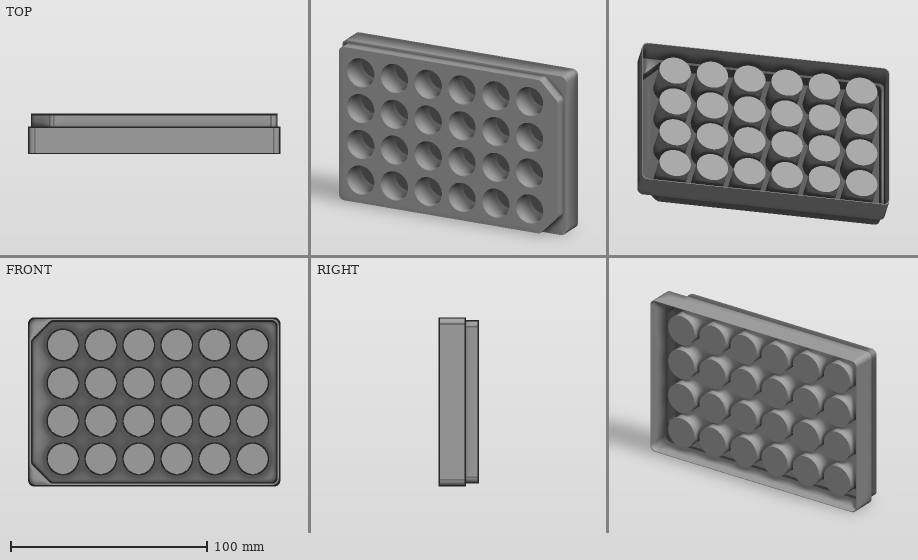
import cadquery as cq
import math


plate_length = 127.9
plate_height = 85.5
plate_depth = 20.1
skirt_depth = 13.5
wall = 0.32
corner_radius = 3.0

step = 1.4
corner_cut = 10.1
body_length = plate_length - 2 * step
body_height = plate_height - 2 * step

columns = 6
rows = 4
well_pitch = 19.3
well_shift = 1.8
well_bore = 15.6
well_diameter = 16.2
well_recess = 2.5
floor_thickness = 1.3

deck_y = plate_depth
ledge_y = skirt_depth
deck_inner_y = deck_y - wall
ledge_inner_y = ledge_y - wall


def section(y):
    """Sketch plane facing +Y at the given depth, with local X along -X and local Y along +Z."""
    return cq.Workplane(cq.Plane(origin=(0, y, 0), xDir=(-1, 0, 0), normal=(0, 1, 0)))


def skirt_block(inset, start_y, end_y):
    """Rounded block with the skirt's outline moved inward by inset."""
    return (
        section(start_y)
        .rect(plate_length - 2 * inset, plate_height - 2 * inset)
        .extrude(end_y - start_y)
        .edges("|Y")
        .fillet(corner_radius)
    )


def body_block(inset, start_y, end_y):
    """Rounded block with the upper body's outline, its two -X corners cut, moved inward by inset."""
    return (
        section(start_y)
        .rect(body_length - 2 * inset, body_height - 2 * inset)
        .extrude(end_y - start_y)
        .edges("|Y and <X")
        .chamfer(corner_cut - inset * (2 - math.sqrt(2)))
        .edges("|Y")
        .fillet(corner_radius)
    )


def well_cylinders(diameter, start_y, end_y):
    """One cylinder at every well position."""
    return (
        section(start_y)
        .center(-well_shift, 0)
        .rarray(well_pitch, well_pitch, columns, rows)
        .circle(diameter / 2)
        .extrude(end_y - start_y)
    )


skirt = skirt_block(0, 0, ledge_y)
body = body_block(0, ledge_inner_y, deck_y)
skirt_cavity = skirt_block(wall, 0, ledge_inner_y)
body_cavity = body_block(wall, ledge_inner_y, deck_inner_y)
wells = well_cylinders(well_diameter, well_recess, deck_y)
bores = well_cylinders(well_bore, well_recess + floor_thickness, deck_y)

shell = skirt.union(body).cut(skirt_cavity).cut(body_cavity)
result = shell.union(wells).cut(bores)